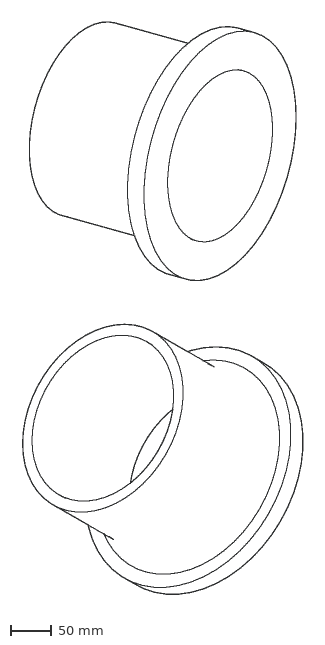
import cadquery as cq

total_length = 204.0
flange_diameter = 320.0
flange_thickness = 25.5
tube_diameter = 250.0
bore_diameter = 220.5
neck_diameter = 284.8
neck_length = 46.7
neck_sag = 1.0

flange_radius = flange_diameter / 2
tube_radius = tube_diameter / 2
bore_radius = bore_diameter / 2
neck_radius = neck_diameter / 2
flange_face = total_length - flange_thickness
neck_start = flange_face - neck_length

half_section = (
    cq.Workplane("XY")
    .moveTo(0, bore_radius)
    .lineTo(0, tube_radius)
    .lineTo(neck_start, tube_radius)
    .sagittaArc((flange_face, neck_radius), -neck_sag)
    .lineTo(flange_face, flange_radius)
    .lineTo(total_length, flange_radius)
    .lineTo(total_length, bore_radius)
    .close()
)

result = half_section.revolve(360, (0, 0, 0), (1, 0, 0))